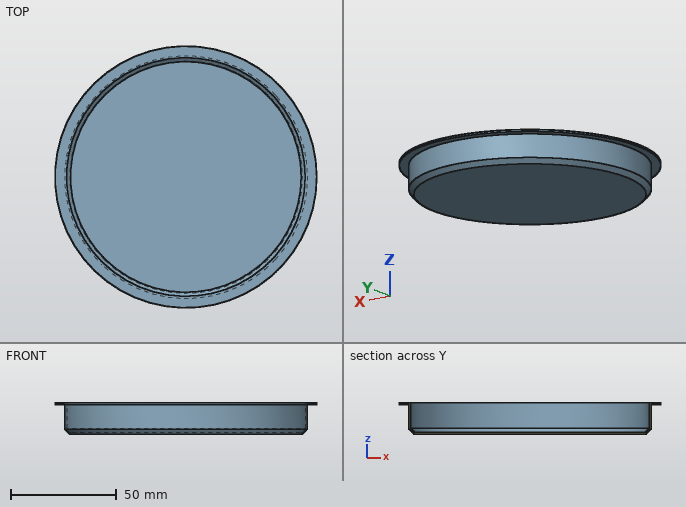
import cadquery as cq
import math

flange_diameter = 124.0
body_diameter = 115.0
height = 15.0
sheet = 1.0
outer_chamfer = 2.5

flange_radius = flange_diameter / 2
body_radius = body_diameter / 2
cavity_radius = body_radius - sheet
inner_chamfer = outer_chamfer - sheet * (2 - math.sqrt(2))


def flanged_body():
    """Solid disc with a chamfered lower edge and a thin flange at the top."""
    body = cq.Workplane("XY").circle(body_radius).extrude(height)
    body = body.faces("<Z").edges().chamfer(outer_chamfer)
    flange = cq.Workplane("XY").workplane(offset=height - sheet).circle(flange_radius).extrude(sheet)
    return body.union(flange)


def cavity():
    """Open space inside the tray, chamfered where the wall meets the floor."""
    space = cq.Workplane("XY").workplane(offset=sheet).circle(cavity_radius).extrude(height - sheet)
    return space.faces("<Z").edges().chamfer(inner_chamfer)


result = flanged_body().cut(cavity())